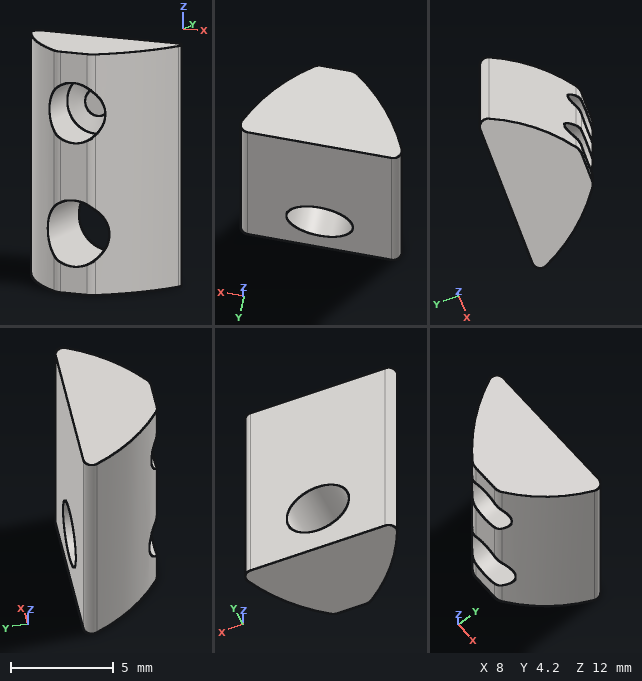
import cadquery as cq
import math

width = 8.0
thickness = 4.2
length = 12.0

flank_radius = 8.76
back_corner_radius = 0.42
nose_corner_radius = 0.69
nose_flat_width = 1.42

hole_spacing = 6.0
through_hole_diameter = 3.3
through_hole_z = 3.0

blind_hole_diameter = 3.0
blind_hole_straight_depth = 2.5
blind_floor_diameter = 1.36
blind_cone_angle = 140.0

blind_hole_z = through_hole_z + hole_spacing
back_corner_center = (width / 2 - back_corner_radius, thickness - back_corner_radius)
nose_corner_center = (nose_flat_width / 2, nose_corner_radius)


def find_flank_center():
    """Centre of the flank arc that is tangent to the back and nose corner arcs."""
    reach_back = flank_radius - back_corner_radius
    reach_nose = flank_radius - nose_corner_radius
    dx = back_corner_center[0] - nose_corner_center[0]
    dy = back_corner_center[1] - nose_corner_center[1]
    gap = math.hypot(dx, dy)
    along = (reach_nose**2 - reach_back**2 + gap**2) / (2 * gap)
    across = math.sqrt(reach_nose**2 - along**2)
    return (
        nose_corner_center[0] + (along * dx - across * dy) / gap,
        nose_corner_center[1] + (along * dy + across * dx) / gap,
    )


def on_circle(center, radius, angle):
    return (center[0] + radius * math.cos(angle), center[1] + radius * math.sin(angle))


def angle_from(start, end):
    return math.atan2(end[1] - start[1], end[0] - start[0])


def make_body():
    """Half of the cross-section, mirrored about the YZ plane and extruded along Z."""
    flank_center = find_flank_center()
    up = math.pi / 2
    nose_angle = angle_from(flank_center, nose_corner_center)
    back_angle = angle_from(flank_center, back_corner_center)

    nose_mid = on_circle(nose_corner_center, nose_corner_radius, (nose_angle - up) / 2)
    nose_end = on_circle(nose_corner_center, nose_corner_radius, nose_angle)
    flank_mid = on_circle(flank_center, flank_radius, (nose_angle + back_angle) / 2)
    flank_end = on_circle(flank_center, flank_radius, back_angle)
    back_mid = on_circle(back_corner_center, back_corner_radius, (back_angle + up) / 2)
    back_end = (back_corner_center[0], thickness)

    return (
        cq.Workplane("XY")
        .moveTo(0, 0)
        .lineTo(nose_flat_width / 2, 0)
        .threePointArc(nose_mid, nose_end)
        .threePointArc(flank_mid, flank_end)
        .threePointArc(back_mid, back_end)
        .lineTo(0, thickness)
        .mirrorY()
        .extrude(length)
    )


def make_through_hole():
    return (
        cq.Workplane("XZ", origin=(0, thickness, through_hole_z))
        .circle(through_hole_diameter / 2)
        .extrude(thickness)
    )


def make_blind_hole():
    """Straight bore from the nose, ending in a truncated cone with a flat floor."""
    bore_radius = blind_hole_diameter / 2
    floor_radius = blind_floor_diameter / 2
    cone_depth = (bore_radius - floor_radius) / math.tan(math.radians(blind_cone_angle / 2))
    floor_depth = blind_hole_straight_depth + cone_depth
    return (
        cq.Workplane("XY")
        .polyline([
            (0, 0),
            (bore_radius, 0),
            (bore_radius, blind_hole_straight_depth),
            (floor_radius, floor_depth),
            (0, floor_depth),
        ])
        .close()
        .revolve(360, (0, 0, 0), (0, 1, 0))
        .translate((0, 0, blind_hole_z))
    )


result = make_body().cut(make_through_hole()).cut(make_blind_hole())